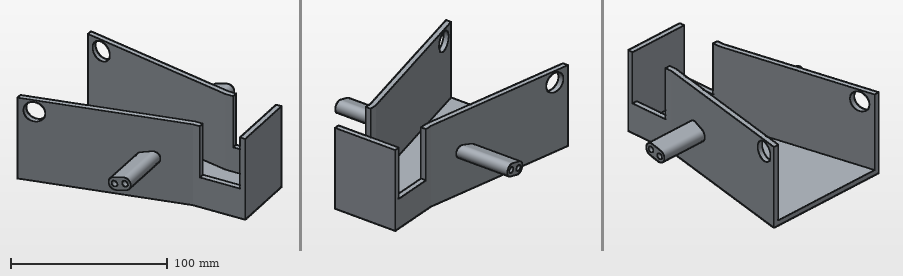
import cadquery as cq
import math

length = 153.3
height = 60.0
wall = 4.0
wide_width = 97.2
throat_width = 48.0
taper_length = 114.8

side_hole_diameter = 14.3
side_hole_x = 11.0
side_hole_z = 51.4

notch_start_x = 120.0
notch_floor_z = 22.0

arm_x = 85.5
arm_z = height / 2
arm_tilt = 15.0
arm_thickness = 9.2
arm_flat_length = 7.4
bore_spacing = 8.0
bore_diameter = 4.1
front_arm_end_y = -67.8
back_arm_end_y = 69.3

taper_angle = math.atan2((wide_width - throat_width) / 2, taper_length)
inner_wide_width = wide_width - 2 * wall / math.cos(taper_angle)
inner_throat_width = throat_width - 2 * wall
inner_taper_length = taper_length - wall * math.tan(taper_angle / 2)


def funnel(end_width, straight_width, taper_end_x, end_x, base_z):
    """Upright prism, symmetric about y = 0: a taper followed by a straight throat."""
    return (
        cq.Workplane("XY", origin=(0, 0, base_z))
        .moveTo(0, -end_width / 2)
        .lineTo(taper_end_x, -straight_width / 2)
        .lineTo(end_x, -straight_width / 2)
        .lineTo(end_x, straight_width / 2)
        .lineTo(taper_end_x, straight_width / 2)
        .lineTo(0, end_width / 2)
        .close()
        .extrude(height - base_z)
    )


def make_envelope():
    """The tray's full outer volume."""
    return funnel(wide_width, throat_width, taper_length, length, 0)


def make_tray():
    cavity = funnel(inner_wide_width, inner_throat_width, inner_taper_length, length - wall, wall)
    side_holes = (
        cq.Workplane("XZ")
        .center(side_hole_x, side_hole_z)
        .circle(side_hole_diameter / 2)
        .extrude(wide_width / 2, both=True)
    )
    notch = cq.Workplane("XY").box(
        length - wall - notch_start_x, throat_width, height - notch_floor_z, centered=(False, True, False)
    ).translate((notch_start_x, 0, notch_floor_z))
    return make_envelope().cut(cavity).cut(side_holes).cut(notch)


def make_arm(end_y):
    """Bar from the tapered wall out to end_y, with two bores along its whole length."""
    section = cq.Workplane("XZ").center(arm_x, arm_z).transformed(rotate=(0, 0, arm_tilt))
    bar = section.slot2D(arm_flat_length + arm_thickness, arm_thickness).extrude(-end_y)
    bores = (
        section.pushPoints([(-bore_spacing / 2, 0), (bore_spacing / 2, 0)])
        .circle(bore_diameter / 2)
        .extrude(-end_y)
    )
    return bar.cut(bores).cut(make_envelope())


tray = make_tray()
arms = [make_arm(end_y) for end_y in (front_arm_end_y, back_arm_end_y)]

result = cq.Compound.makeCompound([tray.val()] + [arm.solids().val() for arm in arms])